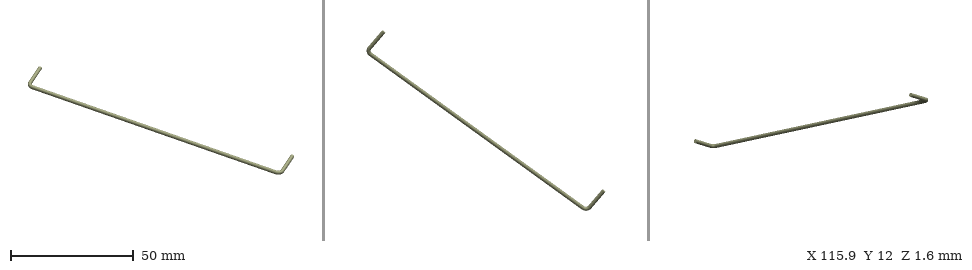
import cadquery as cq
import math

overall_length = 115.9
overall_depth = 12.0
rod_diameter = 1.6
bend_radius = 2.0

rod_radius = rod_diameter / 2
leg_x = overall_length / 2 - rod_radius
leg_tip_y = overall_depth - rod_radius
run_end_x = leg_x - bend_radius
bend_mid_x = run_end_x + bend_radius * math.sin(math.radians(45))
bend_mid_y = bend_radius * (1 - math.cos(math.radians(45)))

centreline = (
    cq.Workplane("XY")
    .moveTo(-leg_x, leg_tip_y)
    .lineTo(-leg_x, bend_radius)
    .threePointArc((-bend_mid_x, bend_mid_y), (-run_end_x, 0))
    .lineTo(run_end_x, 0)
    .threePointArc((bend_mid_x, bend_mid_y), (leg_x, bend_radius))
    .lineTo(leg_x, leg_tip_y)
)

result = (
    cq.Workplane("XZ", origin=(-leg_x, leg_tip_y, 0))
    .circle(rod_radius)
    .sweep(centreline)
)